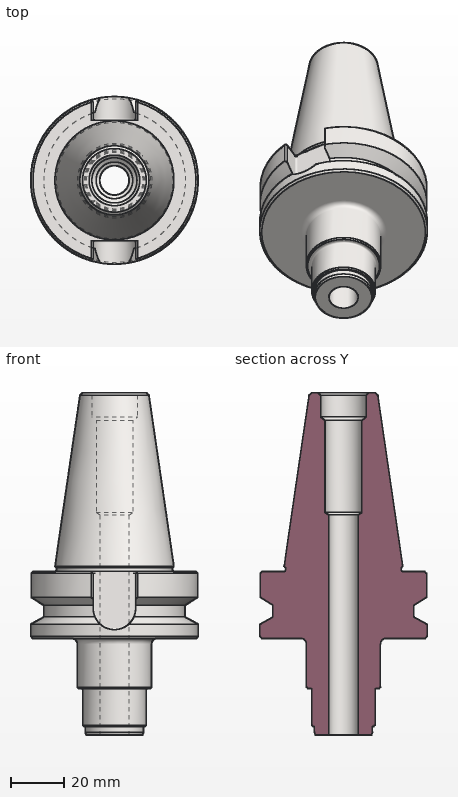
import cadquery as cq
import math

TOTAL_LENGTH = 128.7
TAPER_RATE = 7 / 24
TAPER_TOP_RADIUS = 12.9
TAPER_BOTTOM_Z = 63.5
TAPER_TOP_CHAMFER = 0.9
NECK_RADIUS = 21.9
NECK_TOP_Z = 62.8
NECK_FILLET = 0.6

FLANGE_RADIUS = 63.0 / 2
UPPER_FLANGE_RADIUS = 31.4
FLANGE_TOP_Z = 61.5
FLANGE_BOTTOM_Z = 36.3
FLANGE_CHAMFER = 0.8
GROOVE_RADIUS = 26.6
GROOVE_UPPER_EDGE_Z = 51.7
GROOVE_FLOOR_TOP_Z = 48.8
GROOVE_FLOOR_BOTTOM_Z = 44.4
GROOVE_LOWER_EDGE_Z = 41.7

COLLAR_RADIUS = 28.0 / 2
COLLAR_FILLET = 2.0
COLLAR_BOTTOM_Z = 17.5
NOSE_RADIUS = 24.0 / 2
NOSE_BOTTOM_Z = 3.2
STEP_CHAMFER = 0.5
STEP_FILLET = 0.6
TIP_RADIUS = 22.0 / 2
TIP_CHAMFER_HEIGHT = 1.0
TIP_CHAMFER_WIDTH = 0.4

MOUTH_RADIUS = 17.0 / 2
MOUTH_CHAMFER = 1.0
MOUTH_DEPTH = 9.1
CORE_RADIUS = 13.8 / 2
CORE_BOTTOM_Z = 83.7
THROUGH_RADIUS = 11.0 / 2
SEAT_DEPTH = 1.3
DRILL_POINT_ANGLE = 118.0

SLOT_HALF_WIDTH = 8.0
SLOT_BOTTOM_Z = 39.6
SLOT_FLOOR_Y = 22.7
SLOT_FLOOR_FILLET = 0.6
SLOT_EDGE_CHAMFER = 0.8


def make_body():
    taper_bottom_radius = TAPER_TOP_RADIUS + (TOTAL_LENGTH - TAPER_BOTTOM_Z) * TAPER_RATE / 2
    taper_rim_z = TOTAL_LENGTH - TAPER_TOP_CHAMFER
    taper_rim_radius = TAPER_TOP_RADIUS + TAPER_TOP_CHAMFER * TAPER_RATE / 2
    diagonal = math.sqrt(0.5)

    def fillet_middle(radius, corner_z, size, direction):
        """Middle of a concave fillet; direction is +1 above the shoulder, -1 below."""
        offset = size * (1 - diagonal)
        return radius + offset, corner_z + direction * offset

    profile = (
        cq.Workplane("XZ")
        .moveTo(0, 0)
        .lineTo(TIP_RADIUS - TIP_CHAMFER_WIDTH, 0)
        .lineTo(TIP_RADIUS, TIP_CHAMFER_HEIGHT)
        .lineTo(TIP_RADIUS, NOSE_BOTTOM_Z)
        .lineTo(NOSE_RADIUS - STEP_CHAMFER, NOSE_BOTTOM_Z)
        .lineTo(NOSE_RADIUS, NOSE_BOTTOM_Z + STEP_CHAMFER)
        .lineTo(NOSE_RADIUS, COLLAR_BOTTOM_Z - STEP_FILLET)
        .threePointArc(
            fillet_middle(NOSE_RADIUS, COLLAR_BOTTOM_Z, STEP_FILLET, -1),
            (NOSE_RADIUS + STEP_FILLET, COLLAR_BOTTOM_Z),
        )
        .lineTo(COLLAR_RADIUS - STEP_CHAMFER, COLLAR_BOTTOM_Z)
        .lineTo(COLLAR_RADIUS, COLLAR_BOTTOM_Z + STEP_CHAMFER)
        .lineTo(COLLAR_RADIUS, FLANGE_BOTTOM_Z - COLLAR_FILLET)
        .threePointArc(
            fillet_middle(COLLAR_RADIUS, FLANGE_BOTTOM_Z, COLLAR_FILLET, -1),
            (COLLAR_RADIUS + COLLAR_FILLET, FLANGE_BOTTOM_Z),
        )
        .lineTo(FLANGE_RADIUS - FLANGE_CHAMFER, FLANGE_BOTTOM_Z)
        .lineTo(FLANGE_RADIUS, FLANGE_BOTTOM_Z + FLANGE_CHAMFER)
        .lineTo(FLANGE_RADIUS, GROOVE_LOWER_EDGE_Z)
        .lineTo(GROOVE_RADIUS, GROOVE_FLOOR_BOTTOM_Z)
        .lineTo(GROOVE_RADIUS, GROOVE_FLOOR_TOP_Z)
        .lineTo(UPPER_FLANGE_RADIUS, GROOVE_UPPER_EDGE_Z)
        .lineTo(UPPER_FLANGE_RADIUS, FLANGE_TOP_Z - FLANGE_CHAMFER)
        .lineTo(UPPER_FLANGE_RADIUS - FLANGE_CHAMFER, FLANGE_TOP_Z)
        .lineTo(NECK_RADIUS + NECK_FILLET, FLANGE_TOP_Z)
        .threePointArc(
            fillet_middle(NECK_RADIUS, FLANGE_TOP_Z, NECK_FILLET, 1),
            (NECK_RADIUS, FLANGE_TOP_Z + NECK_FILLET),
        )
        .lineTo(NECK_RADIUS, NECK_TOP_Z)
        .lineTo(taper_bottom_radius, TAPER_BOTTOM_Z)
        .lineTo(taper_rim_radius, taper_rim_z)
        .lineTo(TAPER_TOP_RADIUS - TAPER_TOP_CHAMFER, TOTAL_LENGTH)
        .lineTo(0, TOTAL_LENGTH)
        .close()
    )
    return profile.revolve(360, (0, 0, 0), (0, 1, 0))


def make_bore():
    drill_half_angle = math.radians(DRILL_POINT_ANGLE / 2)
    drill_cone_height = (CORE_RADIUS - THROUGH_RADIUS) / math.tan(drill_half_angle)
    mouth_bottom_z = TOTAL_LENGTH - MOUTH_DEPTH
    profile = (
        cq.Workplane("XZ")
        .moveTo(0, 0)
        .lineTo(THROUGH_RADIUS, 0)
        .lineTo(THROUGH_RADIUS, CORE_BOTTOM_Z - drill_cone_height)
        .lineTo(CORE_RADIUS, CORE_BOTTOM_Z)
        .lineTo(CORE_RADIUS, mouth_bottom_z - SEAT_DEPTH)
        .lineTo(MOUTH_RADIUS, mouth_bottom_z)
        .lineTo(MOUTH_RADIUS, TOTAL_LENGTH - MOUTH_CHAMFER)
        .lineTo(MOUTH_RADIUS + MOUTH_CHAMFER, TOTAL_LENGTH)
        .lineTo(0, TOTAL_LENGTH)
        .close()
    )
    return profile.revolve(360, (0, 0, 0), (0, 1, 0))


def make_slot():
    """Cutter for the -Y slot: a rounded-end channel whose walls flare at the flange edges."""
    arc_center_z = SLOT_BOTTOM_Z + SLOT_HALF_WIDTH
    flare_half_width = SLOT_HALF_WIDTH + SLOT_EDGE_CHAMFER
    channel = (
        cq.Workplane("XZ", origin=(0, -SLOT_FLOOR_Y, 0))
        .moveTo(-SLOT_HALF_WIDTH, FLANGE_TOP_Z)
        .lineTo(-SLOT_HALF_WIDTH, arc_center_z)
        .threePointArc((0, SLOT_BOTTOM_Z), (SLOT_HALF_WIDTH, arc_center_z))
        .lineTo(SLOT_HALF_WIDTH, FLANGE_TOP_Z)
        .close()
        .extrude(FLANGE_RADIUS - SLOT_FLOOR_Y)
    )
    channel = channel.faces(">Y").edges("not(>Z)").fillet(SLOT_FLOOR_FILLET)

    top_flare = (
        cq.Workplane("XZ", origin=(0, -SLOT_FLOOR_Y, 0))
        .moveTo(-flare_half_width, FLANGE_TOP_Z)
        .lineTo(-SLOT_HALF_WIDTH, FLANGE_TOP_Z - SLOT_EDGE_CHAMFER)
        .lineTo(SLOT_HALF_WIDTH, FLANGE_TOP_Z - SLOT_EDGE_CHAMFER)
        .lineTo(flare_half_width, FLANGE_TOP_Z)
        .close()
        .extrude(FLANGE_RADIUS - SLOT_FLOOR_Y)
    )
    rim_y = -math.sqrt(UPPER_FLANGE_RADIUS**2 - flare_half_width**2)
    rim_flare = (
        cq.Workplane("XY", origin=(0, 0, GROOVE_FLOOR_TOP_Z))
        .moveTo(-SLOT_HALF_WIDTH, rim_y + SLOT_EDGE_CHAMFER)
        .lineTo(-flare_half_width, rim_y)
        .lineTo(-flare_half_width, -FLANGE_RADIUS)
        .lineTo(flare_half_width, -FLANGE_RADIUS)
        .lineTo(flare_half_width, rim_y)
        .lineTo(SLOT_HALF_WIDTH, rim_y + SLOT_EDGE_CHAMFER)
        .close()
        .extrude(FLANGE_TOP_Z - GROOVE_FLOOR_TOP_Z)
    )
    return channel.union(top_flare).union(rim_flare)


result = make_body().cut(make_bore())
slot = make_slot()
for angle in (0, 180):
    result = result.cut(slot.rotate((0, 0, 0), (0, 0, 1), angle))